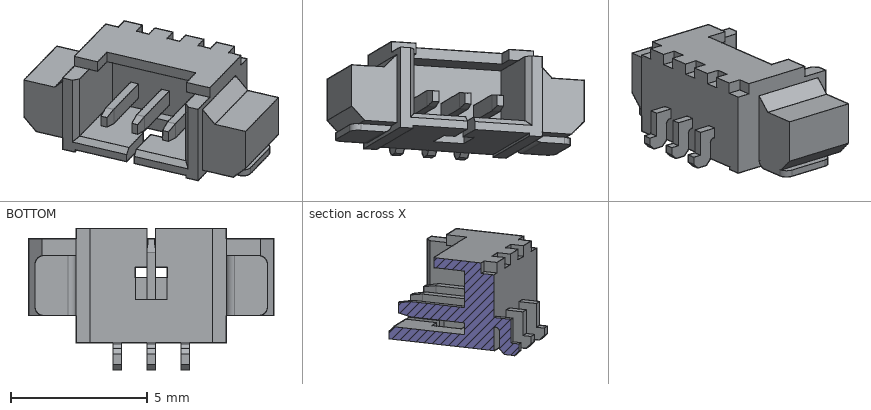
import cadquery as cq


pin_count = 3
pin_pitch = 1.25
pin_width = 0.32
pin_bottom = 1.03
pin_top = 1.63
pin_tip_y = 0.38
pin_taper_length = 0.5
pin_tip_width = 0.24
pin_tip_inset = 0.1
pin_xs = [(i - (pin_count - 1) / 2) * pin_pitch for i in range(pin_count)]

body_width = 5.5
body_depth = 4.2
body_height = 3.4
roof_thickness = 0.4
wall_top = body_height - roof_thickness
standoff = 0.1
foot_inner_width = 4.5

cavity_width = 4.3
cavity_floor = 0.6
cavity_depth = 3.0
mouth_chamfer = 0.2

roof_setback = 1.0
roof_notch_width = 3.6
roof_notch_end = 1.8
rear_notch_size = 0.51

slot_width = 0.3
window_size = 1.17
window_front = 1.43

overall_width = 9.0
wing_front = 0.38
wing_back = 3.2
wing_bottom = 0.25
wing_top = 2.3
wing_chamfer = 0.5

tab_outer_x = 4.26
tab_front = 1.0
tab_corner_radius = 0.32
tab_bend_radius = 0.3

tail_end = 5.2
tail_top = 1.38
tail_bottom = 1.0
tail_leg_inner = 4.4
tail_leg_outer = 4.88
tail_toe_height = 0.48
tail_toe_chamfer = 0.2
tail_bend_radius = 0.15
tail_embed = 0.5


def block(x_centre, width, y_range, z_range):
    """Box centred on x_centre, spanning the given Y and Z ranges."""
    y_start, y_end = y_range
    z_start, z_end = z_range
    size = (width, y_end - y_start, z_end - z_start)
    solid_box = cq.Workplane("XY").box(*size, centered=(True, False, False))
    return solid_box.translate((x_centre, y_start, z_start))


def make_cavity():
    """Mating cavity with a mouth flared at both sides and at the floor."""
    cavity = block(0, cavity_width, (0, cavity_depth), (cavity_floor, wall_top))
    mouth_half = cavity_width / 2 + mouth_chamfer
    flare = (
        cq.Workplane("XY")
        .polyline([
            (-mouth_half, 0),
            (mouth_half, 0),
            (cavity_width / 2, mouth_chamfer),
            (-cavity_width / 2, mouth_chamfer),
        ])
        .close()
        .extrude(wall_top)
    )
    flare_floor = (
        cq.Workplane("YZ")
        .polyline([
            (0, cavity_floor - mouth_chamfer),
            (mouth_chamfer, cavity_floor),
            (mouth_chamfer, wall_top),
            (0, wall_top),
        ])
        .close()
        .extrude(mouth_half, both=True)
    )
    return cavity.union(flare.intersect(flare_floor))


def cut_roof(body):
    """Set the roof back from the mouth, notch its front and castellate its rear."""
    roof = (wall_top, body_height)
    body = body.cut(block(0, body_width, (0, roof_setback), roof))
    body = body.cut(block(0, roof_notch_width, (0, roof_notch_end), roof))
    corner_x = (body_width - rear_notch_size) / 2
    for x in [-corner_x, *pin_xs, corner_x]:
        body = body.cut(block(x, rear_notch_size, (body_depth - rear_notch_size, body_depth), roof))
    return body


def cut_floor(body):
    """Raise the floor off the board, then cut the polarising slot and the window."""
    body = body.cut(block(0, foot_inner_width, (0, body_depth), (0, standoff)))
    body = body.cut(block(0, slot_width, (0, window_front), (0, cavity_floor)))
    return body.cut(block(0, window_size, (window_front, window_front + window_size), (0, cavity_floor)))


def make_housing():
    body = block(0, body_width, (0, body_depth), (0, body_height))
    return cut_floor(cut_roof(body.cut(make_cavity())))


def make_wing():
    """Right-hand wing, flared upward where it joins the housing."""
    root = body_width / 2
    outer = overall_width / 2
    return (
        cq.Workplane("XZ", origin=(0, wing_front, 0))
        .polyline([
            (root, wing_bottom),
            (outer - wing_chamfer, wing_bottom),
            (outer, wing_bottom + wing_chamfer),
            (outer, wing_top),
            (root + wing_chamfer, wing_top),
            (root, wing_top + wing_chamfer),
        ])
        .close()
        .extrude(wing_front - wing_back)
    )


def make_tab():
    """Right-hand solder tab, bent up into the wing beside the housing."""
    root = body_width / 2
    bend_end = root + tab_bend_radius
    return (
        cq.Workplane("XZ", origin=(0, tab_front, 0))
        .moveTo(bend_end, 0)
        .lineTo(tab_outer_x, 0)
        .lineTo(tab_outer_x, wing_bottom)
        .lineTo(bend_end, wing_bottom)
        .lineTo(bend_end, tab_bend_radius)
        .lineTo(root, tab_bend_radius)
        .radiusArc((bend_end, 0), -tab_bend_radius)
        .close()
        .extrude(tab_front - wing_back)
        .edges("|Z and >X")
        .fillet(tab_corner_radius)
    )


def make_tail():
    """Gull-wing solder tail leaving the rear wall."""
    return (
        cq.Workplane("YZ")
        .moveTo(body_depth - tail_embed, tail_top)
        .lineTo(tail_leg_outer, tail_top)
        .lineTo(tail_leg_outer, tail_toe_height)
        .lineTo(tail_end, tail_toe_height)
        .lineTo(tail_end, tail_toe_chamfer)
        .lineTo(tail_end - tail_toe_chamfer, 0)
        .lineTo(tail_leg_inner + tail_toe_chamfer, 0)
        .lineTo(tail_leg_inner, tail_toe_chamfer)
        .lineTo(tail_leg_inner, tail_bottom - tail_bend_radius)
        .radiusArc((tail_leg_inner - tail_bend_radius, tail_bottom), -tail_bend_radius)
        .lineTo(body_depth - tail_embed, tail_bottom)
        .close()
        .extrude(pin_width / 2, both=True)
    )


def make_contact():
    """Contact at X = 0: a bar with a tapered tip in the cavity, and its tail."""
    taper_end = pin_tip_y + pin_taper_length
    pin_height = pin_top - pin_bottom
    bar = block(0, pin_width, (taper_end, cavity_depth), (pin_bottom, pin_top))
    tip = (
        cq.Workplane("XZ", origin=(0, taper_end, (pin_bottom + pin_top) / 2))
        .rect(pin_width, pin_height)
        .workplane(offset=pin_taper_length)
        .rect(pin_tip_width, pin_height - 2 * pin_tip_inset)
        .loft()
    )
    return bar.union(tip).union(make_tail())


result = make_housing()
for side_part in (make_wing(), make_tab()):
    result = result.union(side_part).union(side_part.mirror("YZ"))
contact = make_contact()
for pin_x in pin_xs:
    result = result.union(contact.translate((pin_x, 0, 0)))